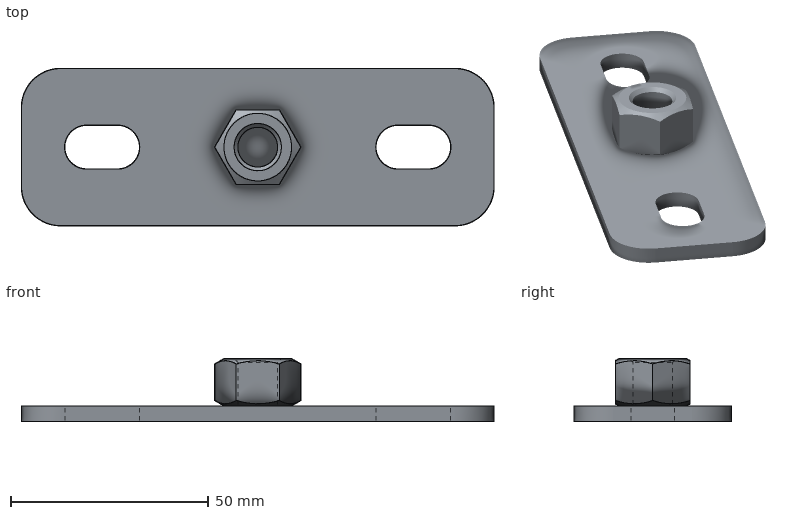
import cadquery as cq
import math

plate_length = 120.0
plate_width = plate_length / 3
plate_thickness = plate_length / 30
corner_radius = plate_width / 4

slot_length = 19.0
slot_width = 11.0
slot_offset = 39.5

nut_height = 12.0
nut_across_flats = 19.0
nut_across_corners = nut_across_flats / math.cos(math.pi / 6)
nut_face_diameter = 17.2
nut_chamfer_angle = math.radians(30)
bore_diameter = 10.1
bore_mouth_diameter = 12.0


def make_plate():
    plate = (
        cq.Workplane("XY")
        .box(plate_length, plate_width, plate_thickness, centered=(True, True, False))
        .edges("|Z")
        .fillet(corner_radius)
    )
    return (
        plate.faces(">Z")
        .workplane()
        .pushPoints([(-slot_offset, 0), (slot_offset, 0)])
        .slot2D(slot_length, slot_width)
        .cutThruAll()
    )


def make_nut():
    hexagon = cq.Workplane("XY").polygon(6, nut_across_corners).extrude(nut_height)

    face_radius = nut_face_diameter / 2
    corner_reach = nut_across_corners / 2
    chamfer_height = (corner_reach - face_radius) * math.tan(nut_chamfer_angle)
    envelope = (
        cq.Workplane("XZ")
        .moveTo(0, 0)
        .lineTo(face_radius, 0)
        .lineTo(corner_reach, chamfer_height)
        .lineTo(corner_reach, nut_height - chamfer_height)
        .lineTo(face_radius, nut_height)
        .lineTo(0, nut_height)
        .close()
        .revolve(360, (0, 0, 0), (0, 1, 0))
    )

    bore_radius = bore_diameter / 2
    mouth_radius = bore_mouth_diameter / 2
    countersink_depth = mouth_radius - bore_radius
    bore = (
        cq.Workplane("XZ")
        .moveTo(0, 0)
        .lineTo(bore_radius, 0)
        .lineTo(bore_radius, nut_height - countersink_depth)
        .lineTo(mouth_radius, nut_height)
        .lineTo(0, nut_height)
        .close()
        .revolve(360, (0, 0, 0), (0, 1, 0))
    )
    return hexagon.intersect(envelope).cut(bore)


result = make_plate().union(make_nut().translate((0, 0, plate_thickness)))